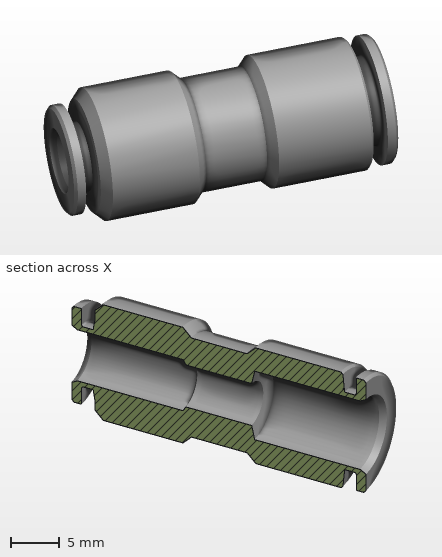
import cadquery as cq
import math

body_radius = 7.0
waist_radius = 6.0
overall_length = 34.4
shoulder_chamfer = body_radius - waist_radius
rear_edge_chamfer = 0.25

front_sleeve_start = 2.7
waist_start = 14.0
waist_end = 20.5
rear_sleeve_end = 31.7

flange_thickness = 1.2
flange_chamfer = 0.3
neck_fillet = 0.2
front_flange_radius = 5.8
front_neck_radius = 3.65
front_tube_radius = 3.05
rear_flange_radius = 6.8
rear_neck_radius = 4.7
rear_tube_radius = 4.1
mouth_chamfer_width = 0.4
mouth_chamfer_length = 0.7

end_cone_height = 0.2
front_cone_radius = 4.8
rear_cone_radius = body_radius - rear_edge_chamfer

passage_radius = 2.5
socket_depth = 13.0
socket_seat_length = 0.35

half_length = overall_length / 2


def revolve_about_y(profile):
    """Revolve a closed (radius, Y) profile around the Y axis."""
    return profile.revolve(360, (0, 0, 0), (0, 1, 0))


def make_body():
    y_front = front_sleeve_start - half_length
    y_waist_start = waist_start - half_length
    y_waist_end = waist_end - half_length
    y_rear = rear_sleeve_end - half_length
    return revolve_about_y(
        cq.Workplane("XY")
        .moveTo(0, y_front - end_cone_height)
        .lineTo(front_neck_radius, y_front - end_cone_height)
        .lineTo(front_cone_radius, y_front)
        .lineTo(body_radius - shoulder_chamfer, y_front)
        .lineTo(body_radius, y_front + shoulder_chamfer)
        .lineTo(body_radius, y_waist_start - shoulder_chamfer)
        .lineTo(waist_radius, y_waist_start)
        .lineTo(waist_radius, y_waist_end)
        .lineTo(body_radius, y_waist_end + shoulder_chamfer)
        .lineTo(body_radius, y_rear - rear_edge_chamfer)
        .lineTo(rear_cone_radius, y_rear)
        .lineTo(rear_neck_radius, y_rear + end_cone_height)
        .lineTo(0, y_rear + end_cone_height)
        .close()
    )


def make_push_ring(flange_radius, neck_radius, sleeve_gap, inward):
    """Flange and neck at one end; inward is the Y direction into the part."""
    y_end = -inward * half_length
    y_under_flange = y_end + inward * flange_thickness
    y_chamfer = y_end + inward * flange_chamfer
    y_fillet = y_under_flange + inward * neck_fillet
    fillet_mid_offset = neck_fillet * (1 - math.cos(math.pi / 4))
    return revolve_about_y(
        cq.Workplane("XY")
        .moveTo(0, y_end)
        .lineTo(flange_radius - flange_chamfer, y_end)
        .lineTo(flange_radius, y_chamfer)
        .lineTo(flange_radius, y_under_flange)
        .lineTo(neck_radius + neck_fillet, y_under_flange)
        .threePointArc(
            (neck_radius + fillet_mid_offset, y_under_flange + inward * fillet_mid_offset),
            (neck_radius, y_fillet),
        )
        .lineTo(neck_radius, y_end + inward * sleeve_gap)
        .lineTo(0, y_end + inward * sleeve_gap)
        .close()
    )


def make_tube_socket(tube_radius, inward):
    """Tube bore with a chamfered mouth and a conical seat down to the passage."""
    y_end = -inward * half_length
    y_seat = y_end + inward * socket_depth
    return revolve_about_y(
        cq.Workplane("XY")
        .moveTo(0, y_end)
        .lineTo(tube_radius + mouth_chamfer_width, y_end)
        .lineTo(tube_radius, y_end + inward * mouth_chamfer_length)
        .lineTo(tube_radius, y_seat)
        .lineTo(passage_radius, y_seat + inward * socket_seat_length)
        .lineTo(0, y_seat + inward * socket_seat_length)
        .close()
    )


def make_passage():
    return (
        cq.Workplane("XZ")
        .workplane(offset=-half_length)
        .circle(passage_radius)
        .extrude(overall_length)
    )


rear_gap = overall_length - rear_sleeve_end

result = (
    make_body()
    .union(make_push_ring(front_flange_radius, front_neck_radius, front_sleeve_start, 1))
    .union(make_push_ring(rear_flange_radius, rear_neck_radius, rear_gap, -1))
    .cut(make_tube_socket(front_tube_radius, 1))
    .cut(make_tube_socket(rear_tube_radius, -1))
    .cut(make_passage())
)